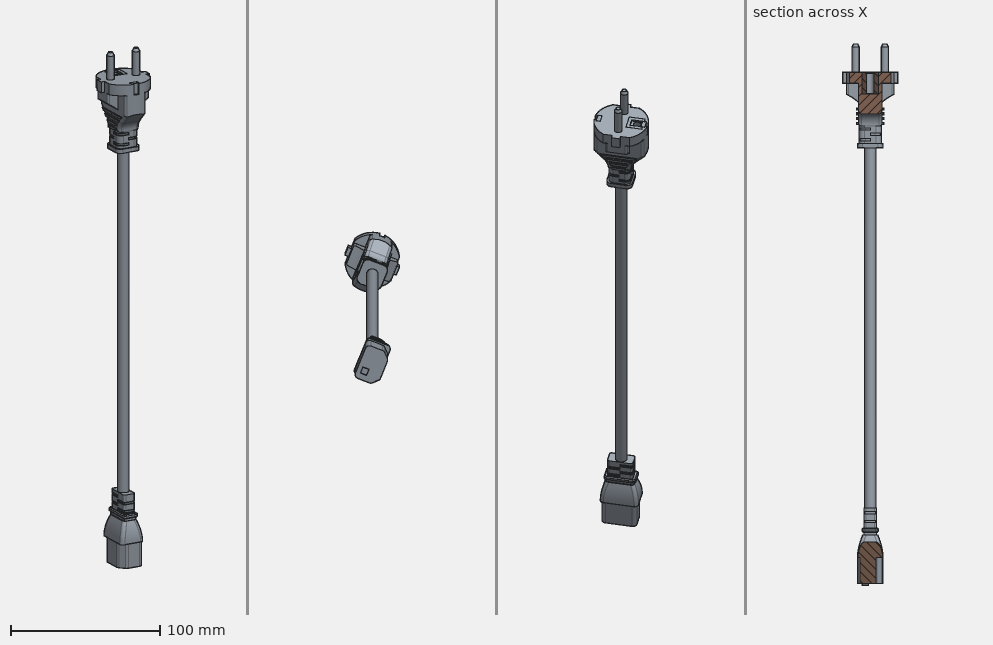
import cadquery as cq
import math


lead_top = 362.2
pin_length = 19.0
plug_face_z = lead_top - pin_length
collar_bottom_z = 335.8
neck_top_z = 307.0
neck_bottom_z = 295.5
plug_bottom_z = 292.5
relief_top_z = 51.8
relief_bottom_z = 38.5
flange_bottom_z = 35.5
hood_top_z = 33.7
block_top_z = 18.5
block_bottom_z = 1.0

collar_diameter = 36.5
collar_radius = collar_diameter / 2
collar_half_y = 16.0
guide_rib_half_x = 3.0
guide_rib_half_y = 18.5
grip_half_y = 8.0
grip_edge_radius = 2.0
wing_half_x = 7.2
wing_edge_radius = 1.25
wing_slope_top_z = 328.5
wing_slope_mid = (11.5, 326.0)
wing_root_half_y = 6.5
neck_half = 7.5
neck_corner_radius = 3.5
taper_arc_radius = 9.8
taper_angle = math.radians(45)
taper_end_x = neck_half + taper_arc_radius * (1 - math.cos(taper_angle))
taper_end_z = neck_top_z + taper_arc_radius * math.sin(taper_angle)
grip_bottom_z = taper_end_z + (collar_radius - taper_end_x) / math.tan(taper_angle)
plug_flange_half = 8.7

rib_count = 4
rib_pitch = 3.3
rib_height = 1.5
top_rib_z = 318.7
rib_half_y = 9.0
rib_side_inset = 3.3

groove_height = 1.5
groove_depth = 0.7
plug_groove_z = 301.7
plug_groove_pitch = 3.5
relief_groove_count = 4
relief_groove_pitch = 3.0
relief_top_groove_z = 48.5

pin_radius = 2.5
pin_offset_y = 9.8
pin_tip_height = 2.0
pin_tip_inset = 1.0
clip_inner_x = 13.8
clip_outer_x = 16.5
clip_half_y = 3.0
clip_height = plug_face_z - collar_bottom_z
clip_window_half_y = 1.8
socket_size = 11.0
socket_x = -9.8
socket_depth = 14.5
socket_hole_x = -11.0
socket_hole_radius = 2.5
socket_recess_half_y = 3.0
socket_recess_end_x = -6.5
socket_recess_depth = 1.0

cable_radius = 4.0

relief_half_x = 8.7
relief_half_y = 4.5
relief_corner_radius = 1.5
flange_half_x = 11.0
flange_half_y = 5.5
flange_corner_radius = 1.8
flange_edge_chamfer = 0.7
waist_half_x = 9.5
waist_half_y = 4.5
hood_top_half = (9.8, 5.0)
hood_mid_half = (12.3, 7.5)
hood_bottom_half = (13.0, 8.7)
hood_mid_z = 26.0
hood_corner_radius = 2.5
block_half_x = 12.0
block_depth_y = 17.0
block_half_y = block_depth_y / 2
block_key_chamfer = 4.7
block_edge_radius = 3.0
nub_size = 4.5
nub_x = 5.5
nub_y = 3.3


def box(x_range, y_range, z_range):
    """Box between two limits along each axis."""
    (x0, x1), (y0, y1), (z0, z1) = x_range, y_range, z_range
    return cq.Workplane("XY").box(x1 - x0, y1 - y0, z1 - z0, centered=False).translate((x0, y0, z0))


def centred_box(half_x, half_y, z_range):
    return box((-half_x, half_x), (-half_y, half_y), z_range)


def rounded_block(half_x, half_y, corner_radius, z_range):
    return centred_box(half_x, half_y, z_range).edges("|Z").fillet(corner_radius)


def collar_outline(z_range):
    """Round plug section with flats on its two Y sides."""
    bottom, top = z_range
    disc = cq.Workplane("XY").workplane(offset=bottom).circle(collar_radius).extrude(top - bottom)
    return disc.intersect(centred_box(collar_radius, collar_half_y, z_range))


def grip_plate(half_y, inset=0.0):
    """Plate in the XZ plane that tapers from the full plug width to the neck."""
    neck_x = neck_half - inset
    taper_x = taper_end_x - inset
    arc_mid_x = neck_x + taper_arc_radius * (1 - math.cos(taper_angle / 2))
    arc_mid_z = neck_top_z + taper_arc_radius * math.sin(taper_angle / 2)
    wide_x = collar_radius - inset
    return (
        cq.Workplane("XZ")
        .moveTo(-wide_x, plug_face_z)
        .lineTo(-wide_x, grip_bottom_z)
        .lineTo(-taper_x, taper_end_z)
        .threePointArc((-arc_mid_x, arc_mid_z), (-neck_x, neck_top_z))
        .lineTo(neck_x, neck_top_z)
        .threePointArc((arc_mid_x, arc_mid_z), (taper_x, taper_end_z))
        .lineTo(wide_x, grip_bottom_z)
        .lineTo(wide_x, plug_face_z)
        .close()
        .extrude(half_y, both=True)
    )


def side_wings():
    """Pair of short wings on the Y sides with a hollow slope below each."""
    mid_y, mid_z = wing_slope_mid
    wings = (
        cq.Workplane("YZ")
        .moveTo(-collar_half_y, plug_face_z)
        .lineTo(-collar_half_y, wing_slope_top_z)
        .threePointArc((-mid_y, mid_z), (-wing_root_half_y, grip_bottom_z))
        .lineTo(wing_root_half_y, grip_bottom_z)
        .threePointArc((mid_y, mid_z), (collar_half_y, wing_slope_top_z))
        .lineTo(collar_half_y, plug_face_z)
        .close()
        .extrude(wing_half_x, both=True)
    )
    return wings.edges("|Z").fillet(wing_edge_radius)


def finger_ribs():
    """Raised bars that follow the taper of the grip on both Y faces."""
    plate = grip_plate(rib_half_y, rib_side_inset)
    ribs = cq.Workplane("XY")
    for index in range(rib_count):
        middle = top_rib_z - index * rib_pitch
        z_range = (middle - rib_height / 2, middle + rib_height / 2)
        ribs = ribs.add(plate.intersect(centred_box(collar_radius, rib_half_y, z_range)))
    return ribs.combine()


def plug_neck():
    """Neck with corner grooves, alternating in height from one corner to the next."""
    neck = rounded_block(neck_half, neck_half, neck_corner_radius, (neck_bottom_z, taper_end_z))
    core = neck_half - groove_depth
    for side_x in (-1, 1):
        for side_y in (-1, 1):
            if side_x == side_y:
                levels = [plug_groove_z]
            else:
                levels = [plug_groove_z - plug_groove_pitch, plug_groove_z + plug_groove_pitch]
            for level in levels:
                z_range = (level - groove_height / 2, level + groove_height / 2)
                x_range = sorted((0, side_x * plug_flange_half))
                y_range = sorted((0, side_y * plug_flange_half))
                groove = box(x_range, y_range, z_range)
                neck = neck.cut(groove.cut(rounded_block(core, core, neck_corner_radius, z_range)))
    return neck


def pin(side):
    """Contact pin with a tapered tip, standing on the plug face."""
    shaft = cq.Workplane("XY").workplane(offset=plug_face_z).circle(pin_radius).extrude(pin_length)
    shaft = shaft.faces(">Z").chamfer(pin_tip_height, pin_tip_inset)
    return shaft.translate((0, side * pin_offset_y, 0))


def earth_clip(side):
    """Flat earth contact let into the plug face."""
    x_range = sorted((side * clip_inner_x, side * clip_outer_x))
    return box(x_range, (-clip_half_y, clip_half_y), (plug_face_z - clip_height, plug_face_z))


def clip_window(side):
    """Opening in the collar that bares the outer side of an earth clip."""
    x_range = sorted((side * clip_outer_x, side * collar_radius))
    y_range = (-clip_window_half_y, clip_window_half_y)
    return box(x_range, y_range, (plug_face_z - clip_height, plug_face_z))


def socket_blank():
    """Square insert, notched where the neighbouring earth clip runs."""
    half = socket_size / 2
    x_range = (socket_x - half, socket_x + half)
    blank = box(x_range, (-half, half), (plug_face_z - socket_depth, plug_face_z))
    return blank.cut(earth_clip(-1))


def earth_socket():
    """Insert with the hole for an earth pin and a shallow recess around its mouth."""
    hole = (
        cq.Workplane("XY")
        .workplane(offset=plug_face_z)
        .center(socket_hole_x, 0)
        .circle(socket_hole_radius)
        .extrude(-socket_depth)
    )
    recess = box(
        (-clip_inner_x, socket_recess_end_x),
        (-socket_recess_half_y, socket_recess_half_y),
        (plug_face_z - socket_recess_depth, plug_face_z),
    )
    return socket_blank().cut(hole).cut(recess)


def plug_housing():
    collar_range = (collar_bottom_z, plug_face_z)
    collar = collar_outline(collar_range)
    guide_ribs = centred_box(guide_rib_half_x, guide_rib_half_y, collar_range)
    grip = grip_plate(grip_half_y).intersect(collar_outline((neck_top_z, plug_face_z)))
    grip = grip.faces("<Y or >Y").edges().fillet(grip_edge_radius)
    flange = rounded_block(
        plug_flange_half, plug_flange_half, neck_corner_radius, (plug_bottom_z, neck_bottom_z)
    )
    housing = collar.union(guide_ribs).union(grip).union(side_wings())
    housing = housing.union(finger_ribs()).union(plug_neck()).union(flange)
    for side in (-1, 1):
        housing = housing.cut(earth_clip(side)).cut(clip_window(side))
    return housing.cut(socket_blank())


def cable():
    length = plug_bottom_z - relief_top_z
    return cq.Workplane("XY").workplane(offset=relief_top_z).circle(cable_radius).extrude(length)


def strain_relief():
    """Flat block with grooves staggered between its two X halves."""
    relief_range = (relief_bottom_z, relief_top_z)
    relief = rounded_block(relief_half_x, relief_half_y, relief_corner_radius, relief_range)
    core_x = relief_half_x - groove_depth
    core_y = relief_half_y - groove_depth
    for index in range(relief_groove_count):
        level = relief_top_groove_z - relief_groove_pitch * index
        side = -1 if index % 2 == 0 else 1
        z_range = (level - groove_height / 2, level + groove_height / 2)
        groove = box(sorted((0, side * relief_half_x)), (-relief_half_y, relief_half_y), z_range)
        relief = relief.cut(groove.cut(centred_box(core_x, core_y, z_range)))
    return relief


def hood_profile(plane, axis):
    """Bulging outline of the hood across one axis, thick enough to span the other."""
    top, mid, bottom = hood_top_half[axis], hood_mid_half[axis], hood_bottom_half[axis]
    return (
        cq.Workplane(plane)
        .moveTo(-bottom, block_top_z)
        .threePointArc((-mid, hood_mid_z), (-top, hood_top_z))
        .lineTo(top, hood_top_z)
        .threePointArc((mid, hood_mid_z), (bottom, block_top_z))
        .close()
        .extrude(2 * block_half_x, both=True)
    )


def hood():
    body = hood_profile("XZ", 0).intersect(hood_profile("YZ", 1))
    return body.edges("not(#Z)").fillet(hood_corner_radius)


def connector_block():
    """Appliance end with two keyed corners on the -Y side and a small nub underneath."""
    block = centred_box(block_half_x, block_half_y, (block_bottom_z, block_top_z))
    block = block.edges("|Z and <Y").chamfer(block_key_chamfer)
    block = block.edges("|Z").fillet(block_edge_radius)
    nub = cq.Workplane("XY").center(nub_x, nub_y).rect(nub_size, nub_size).extrude(block_bottom_z)
    return block.union(nub)


def connector():
    flange = rounded_block(
        flange_half_x, flange_half_y, flange_corner_radius, (flange_bottom_z, relief_bottom_z)
    )
    flange = flange.faces("<Z or >Z").chamfer(flange_edge_chamfer)
    waist = centred_box(waist_half_x, waist_half_y, (hood_top_z, flange_bottom_z))
    return connector_block().union(hood()).union(waist).union(flange).union(strain_relief())


pins = [pin(side) for side in (-1, 1)]
earth_clips = [earth_clip(side) for side in (-1, 1)]

result = cq.Compound.makeCompound(
    [
        plug_housing().val(),
        *[each.val() for each in pins],
        *[each.val() for each in earth_clips],
        earth_socket().val(),
        cable().val(),
        connector().val(),
    ]
)